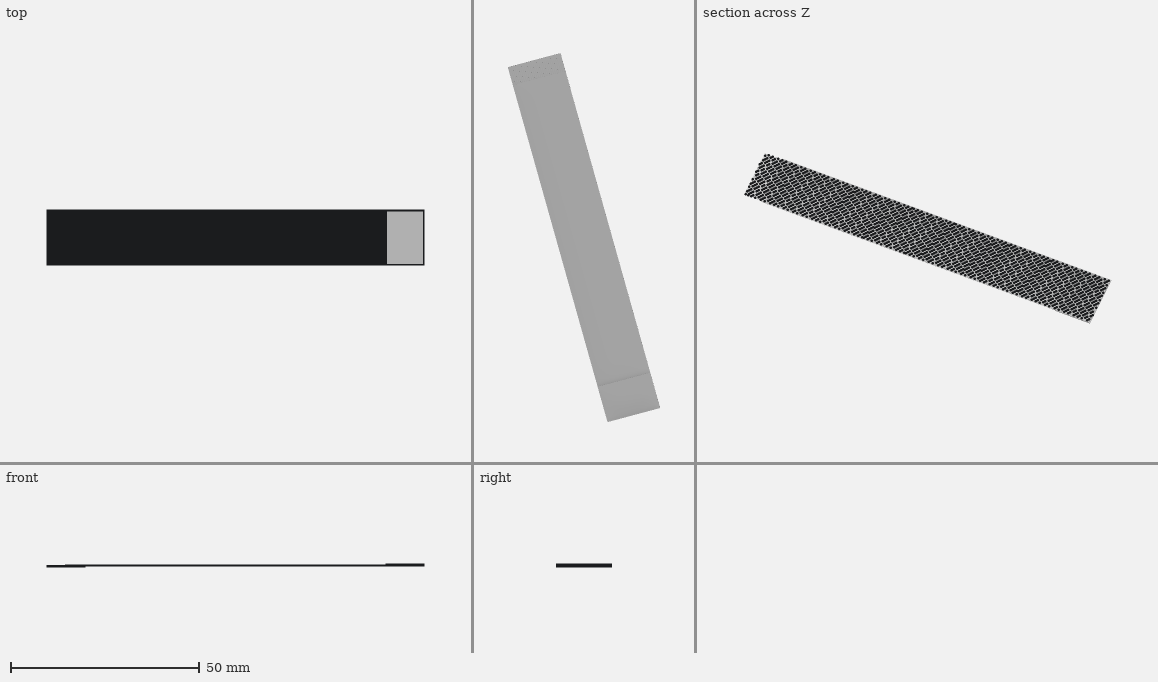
import cadquery as cq

LENGTH = 100.0
PITCH = 0.5
CONTACT_COUNT = 28
WIDTH = (CONTACT_COUNT + 1) * PITCH

STIFFENER_THICKNESS = 0.225
FILM_THICKNESS = 0.045
CONDUCTOR_THICKNESS = 0.05

STIFFENER_LENGTH = 10.0
EXPOSED_LENGTH = 5.0
CONDUCTOR_WIDTH = 0.3

LOWER_FILM_Z = STIFFENER_THICKNESS
CONDUCTOR_Z = LOWER_FILM_Z + FILM_THICKNESS
UPPER_FILM_Z = CONDUCTOR_Z + CONDUCTOR_THICKNESS
UPPER_STIFFENER_Z = UPPER_FILM_Z + FILM_THICKNESS


def layer(x_start, x_end, z_bottom, thickness, width=WIDTH, y_center=0.0):
    """Flat strip between two X positions, centred on y_center."""
    return (
        cq.Workplane("XY")
        .box(x_end - x_start, width, thickness, centered=(False, True, False))
        .translate((x_start, y_center, z_bottom))
    )


def conductors():
    """Parallel flat conductors that run the whole length of the cable."""
    first_y = -(CONTACT_COUNT - 1) * PITCH / 2
    strips = cq.Workplane("XY")
    for index in range(CONTACT_COUNT):
        y_center = first_y + index * PITCH
        strip = layer(0, LENGTH, CONDUCTOR_Z, CONDUCTOR_THICKNESS, CONDUCTOR_WIDTH, y_center)
        strips = strips.add(strip)
    return strips.combine()


lower_stiffener = layer(0, STIFFENER_LENGTH, 0, STIFFENER_THICKNESS)
lower_film = layer(0, LENGTH - EXPOSED_LENGTH, LOWER_FILM_Z, FILM_THICKNESS)
upper_film = layer(EXPOSED_LENGTH, LENGTH, UPPER_FILM_Z, FILM_THICKNESS)
upper_stiffener = layer(LENGTH - STIFFENER_LENGTH, LENGTH, UPPER_STIFFENER_Z, STIFFENER_THICKNESS)

result = (
    lower_film.union(conductors())
    .union(upper_film)
    .union(lower_stiffener)
    .union(upper_stiffener)
)